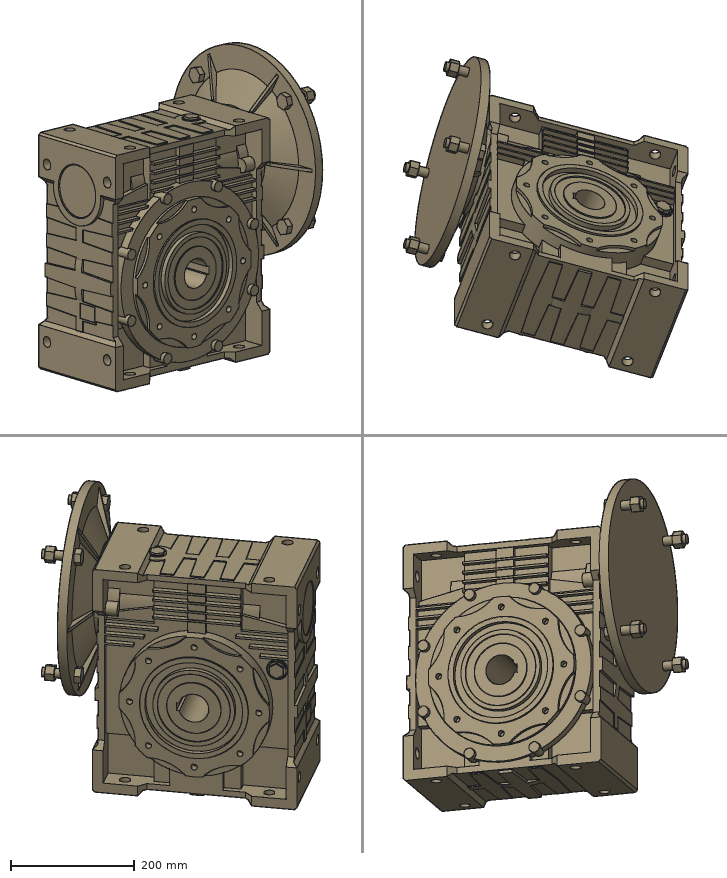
import cadquery as cq
import math

OVERALL_HEIGHT = 495.0
INPUT_Z = 150.0
FLANGE_D = 350.0

HALF_X = 92.5
HALF_Y = 170.0
TOP_Z = 229.5
BOTTOM_Z = INPUT_Z + FLANGE_D / 2 - OVERALL_HEIGHT
BLOCK_CHAMFER = 4.0

FOOT_Y = 94.5
FOOT_LOW_Z = -94.5
FOOT_HIGH_Z = 155.5
WAIST_DEPTH = 7.0
SIDE_WAIST_X = 79.5
SIDE_WAIST_DEPTH = HALF_X - SIDE_WAIST_X
WAIST_END_Y = FOOT_Y - WAIST_DEPTH
WAIST_LOW_Z = FOOT_LOW_Z + WAIST_DEPTH

POCKET_HALF_Y = 152.0
POCKET_TOP_Z = 213.0
POCKET_BOTTOM_Z = -152.5
FLOOR_X = 69.5
DEEP_FLOOR_X = 53.0
DEEP_INNER_Y = 72.5
LOW_DEEP_TOP_Z = -73.5
ISLAND_HALF_Y = 44.0
ISLAND_TOP_Z = -99.0
HIGH_LEDGE_Z = 131.0
LEDGE_X = 63.5
LEDGE_OUTER_Z = 140.5
LEDGE_INNER_Z = 157.0
BARREL_D = 115.0
BARREL_END_Y = -100.5
COLLAR_D = 122.0
COLLAR_LENGTH = 20.0
LUG_D = 24.0
LUG_X = 64.5
LUG_Z = 149.0

FIN_THICKNESS = 3.5
LONG_FIN_PITCH = 16.0
SHORT_FIN_PITCH = 16.0
SHORT_FIN_TOP_Z = 125.5
SHORT_FIN_INNER_Y = [65.0, 87.5, 105.0]
LONG_FIN_TOP_Z = 195.5
LONG_FIN_COUNT = 4
POST_HALF_Y = 15.0
POST_X = 77.5

COVER_D = 250.0
COVER_X = 96.5
RIM_D = 180.0
RIM_X = 100.0
GROOVE_OUTER_D = 162.5
GROOVE_INNER_D = 135.5
GROOVE_X = 91.0
SEAL_D = 121.0
SEAL_X = 97.5
SCALLOP_R = 80.0
SCALLOP_NEAREST = 112.5
SCALLOP_X = 91.0
COVER_HOLE_D = 10.0
COVER_HOLE_CIRCLE_R = 107.5
COVER_HOLE_DEPTH = 15.0
COVER_HOLE_TIP = 3.0
PLATE_D = 302.0
PLATE_X = 85.5
PLATE_SCREW_D = 18.0
PLATE_SCREW_CIRCLE_R = 146.0
PLATE_SCREW_X = 94.0
COVER_POINTS = 8
HALF_STEP = 180 / COVER_POINTS

TREE_HEIGHT = 2.0
TREE_PITCH = 50.0
SPINE_HALF = 8.0
BRANCH_ROOT_HALF = 15.0
BRANCH_TIP_HALF = 11.5
TOP_TREE_HALF_X = 74.2
GEAR_BULGE_R = 168.5
NAME_PAD_SIZE_X = 35.5
NAME_PAD_SIZE_Z = 25.5
NAME_PAD_X = 20.5
NAME_PAD_Z = -52.0
NAME_PAD_RISE = 1.0
NAME_BASE_END_X = 39.5
NAME_BASE_LOW_Z = -69.0

CAP_BOSS_D = BARREL_D
FLANGE_BOSS_D = 161.5
CAP_D = 87.0
CAP_MOUTH_D = 90.0
CAP_THICKNESS = 10.0
CAP_RECESS = 1.5
FOOT_HOLE_D = 18.0
FOOT_HOLE_XS = (-73.0, 73.0)
FOOT_HOLE_Y = 120.0
FOOT_HOLE_LOW_Z = -120.0
FOOT_HOLE_HIGH_Z = 180.0

PLUG_HEX_D = 26.0
PLUG_COLLAR_D = 30.0
TOP_PLUG_Y = 81.0
TOP_PLUG_BOSS_D = 54.5
TOP_PLUG_COLLAR_HEIGHT = 1.5
SIDE_PLUG_Y = -132.5
SIDE_PLUG_Z = 69.0
SIDE_PLUG_TURN = 30
SIDE_PLUG_BOSS_D = 34.5
SIDE_PLUG_BOSS_X = 72.5
SIDE_PLUG_COLLAR_X = 74.2
SIDE_PLUG_X = 78.5

SHAFT_D = 90.0
SHAFT_END_X = 100.0
SHAFT_BORE_D = 50.0
KEY_WIDTH = 14.0
KEY_TOP = 28.5

FLANGE_FRONT_Y = 195.0
FLANGE_BACK_Y = 211.0
CONE_LARGE_D = 268.5
CONE_SMALL_D = FLANGE_BOSS_D
RIB_COUNT = 6
RIB_THICKNESS = 5.5
RIB_OUTER_R = 167.0
RIB_INNER_R = 92.5
BOLT_CIRCLE_R = 150.0
BOLT_COUNT = 4
BOLT_D = 16.0
BOLT_HEX_D = 27.5
BOLT_HEAD_Y = 184.0
NUT_FRONT_Y = 228.5
NUT_BACK_Y = 244.0
BOLT_END_Y = 250.0


def box(x0, x1, y0, y1, z0, z1):
    """Box given by its limits along X, Y and Z."""
    return cq.Workplane("XY").box(x1 - x0, y1 - y0, z1 - z0, centered=False).translate((x0, y0, z0))


def x_cylinder(diameter, x0, x1, y=0, z=0):
    """Cylinder along X."""
    return cq.Workplane("YZ", origin=(x0, 0, 0)).center(y, z).circle(diameter / 2).extrude(x1 - x0)


def y_cylinder(diameter, y0, y1, x=0, z=0):
    """Cylinder along Y."""
    return cq.Workplane("XZ", origin=(0, y0, 0)).center(x, z).circle(diameter / 2).extrude(y0 - y1)


def z_cylinder(diameter, z0, z1, x=0, y=0):
    """Cylinder along Z."""
    return cq.Workplane("XY", origin=(0, 0, z0)).center(x, y).circle(diameter / 2).extrude(z1 - z0)


def y_hexagon(corner_d, y0, y1, x, z, turn):
    """Hexagonal prism along Y, turned about its own axis."""
    prism = cq.Workplane("XZ", origin=(0, y0, 0)).polygon(6, corner_d).extrude(y0 - y1)
    return prism.rotate((0, 0, 0), (0, -1, 0), turn).translate((x, 0, z))


def both_x(shape):
    """The shape on the -X side together with its mirror image on the +X side."""
    return shape.union(shape.mirror("YZ"))


def both_y(shape):
    """The shape together with its mirror image across the XZ plane."""
    return shape.union(shape.mirror("XZ"))


def around(radius, count, start=0):
    """Points evenly spread on a circle, starting at an angle in degrees."""
    angles = [math.radians(start + 360 / count * i) for i in range(count)]
    return [(radius * math.cos(a), radius * math.sin(a)) for a in angles]


def notch(plane, low, high, surface, depth, half_length):
    """Trapezoid with 45 degree ends, cut inwards from a surface and as long as the block."""
    floor = surface - math.copysign(depth, surface)
    outline = [(low, surface), (high, surface), (high - depth, floor), (low + depth, floor)]
    return cq.Workplane(plane).polyline(outline).close().extrude(half_length, both=True)


def make_block():
    block = box(-HALF_X, HALF_X, -HALF_Y, HALF_Y, BOTTOM_Z, TOP_Z)
    block = block.edges("|X").chamfer(BLOCK_CHAMFER)
    for surface in (BOTTOM_Z, TOP_Z):
        block = block.cut(notch("YZ", -FOOT_Y, FOOT_Y, surface, WAIST_DEPTH, HALF_X))
    for surface in (-HALF_Y, HALF_Y):
        block = block.cut(notch("ZY", FOOT_LOW_Z, FOOT_HIGH_Z, surface, WAIST_DEPTH, HALF_X))
    for surface in (-HALF_X, HALF_X):
        block = block.cut(notch("YX", -FOOT_Y, FOOT_Y, surface, SIDE_WAIST_DEPTH, TOP_Z))
        block = block.cut(notch("ZX", FOOT_LOW_Z, FOOT_HIGH_Z, surface, SIDE_WAIST_DEPTH, HALF_Y))
    return block


def make_side_pocket():
    """Space of the pocket on the -X side, with its four deeper corners."""
    pocket = box(-HALF_X, -FLOOR_X, -POCKET_HALF_Y, POCKET_HALF_Y, POCKET_BOTTOM_Z, POCKET_TOP_Z)
    island = box(-HALF_X, -FLOOR_X, -ISLAND_HALF_Y, ISLAND_HALF_Y, POCKET_BOTTOM_Z, ISLAND_TOP_Z)
    low_corner = box(
        -HALF_X, -DEEP_FLOOR_X, DEEP_INNER_Y, POCKET_HALF_Y, POCKET_BOTTOM_Z, LOW_DEEP_TOP_Z
    )
    high_corner = box(
        -HALF_X, -DEEP_FLOOR_X, DEEP_INNER_Y, POCKET_HALF_Y, HIGH_LEDGE_Z, POCKET_TOP_Z
    )
    return pocket.cut(island).union(both_y(low_corner.union(high_corner)))


def make_ledges():
    """Sloping ledges, input barrel with collar, and round lug in the upper corners of the -X pocket."""
    outline = [
        (DEEP_INNER_Y, HIGH_LEDGE_Z),
        (POCKET_HALF_Y, HIGH_LEDGE_Z),
        (POCKET_HALF_Y, LEDGE_OUTER_Z),
        (DEEP_INNER_Y, LEDGE_INNER_Z),
    ]
    ledge = cq.Workplane("YZ", origin=(-LEDGE_X, 0, 0)).polyline(outline).close()
    ledge = ledge.extrude(LEDGE_X - DEEP_FLOOR_X)
    barrel = y_cylinder(BARREL_D, BARREL_END_Y, POCKET_HALF_Y, 0, INPUT_Z)
    collar_y = POCKET_HALF_Y - COLLAR_LENGTH
    collar = y_cylinder(COLLAR_D, collar_y, POCKET_HALF_Y, 0, INPUT_Z)
    lug = y_cylinder(LUG_D, collar_y, POCKET_HALF_Y, -LUG_X, LUG_Z)
    return both_y(ledge).union(barrel).union(collar).union(lug)


def make_fins():
    """Level cooling fins and the upright post on the floor of the -X pocket."""
    fins = box(-POST_X, -FLOOR_X, -POST_HALF_Y, POST_HALF_Y, 0, POCKET_TOP_Z)
    for i in range(LONG_FIN_COUNT):
        top = LONG_FIN_TOP_Z - i * LONG_FIN_PITCH
        fin = box(-SIDE_WAIST_X, -FLOOR_X, -DEEP_INNER_Y, DEEP_INNER_Y, top - FIN_THICKNESS, top)
        fins = fins.union(fin)
    for i, inner_y in enumerate(SHORT_FIN_INNER_Y):
        top = SHORT_FIN_TOP_Z - i * SHORT_FIN_PITCH
        fin = box(-SIDE_WAIST_X, -FLOOR_X, inner_y, POCKET_HALF_Y, top - FIN_THICKNESS, top)
        fins = fins.union(both_y(fin))
    return fins


def make_cover():
    """Round output cover on the -X side with rim, ring groove, seal recess, scallops and holes."""
    cover = x_cylinder(COVER_D, -COVER_X, -DEEP_FLOOR_X)
    cover = cover.union(x_cylinder(RIM_D, -RIM_X, -COVER_X))
    groove = x_cylinder(GROOVE_OUTER_D, -RIM_X, -GROOVE_X)
    cover = cover.cut(groove.cut(x_cylinder(GROOVE_INNER_D, -RIM_X, -GROOVE_X)))
    cover = cover.cut(x_cylinder(SEAL_D, -RIM_X, -SEAL_X))
    for y, z in around(SCALLOP_NEAREST + SCALLOP_R, COVER_POINTS, HALF_STEP):
        cover = cover.cut(x_cylinder(2 * SCALLOP_R, -COVER_X, -SCALLOP_X, y, z))
    for y, z in around(COVER_HOLE_CIRCLE_R, COVER_POINTS):
        floor_x = -COVER_X + COVER_HOLE_DEPTH
        tip = cq.Solid.makeCone(
            COVER_HOLE_D / 2, 0, COVER_HOLE_TIP, cq.Vector(floor_x, y, z), cq.Vector(1, 0, 0)
        )
        cover = cover.cut(x_cylinder(COVER_HOLE_D, -COVER_X, floor_x, y, z)).cut(cq.Workplane(tip))
    return cover


def make_screw_plate():
    """Wider plate with round screw heads behind the cover on the +X side."""
    plate = x_cylinder(PLATE_D, FLOOR_X, PLATE_X)
    for y, z in around(PLATE_SCREW_CIRCLE_R, COVER_POINTS, HALF_STEP):
        plate = plate.union(x_cylinder(PLATE_SCREW_D, FLOOR_X, PLATE_SCREW_X, y, z))
    return plate


def tree(plane, origin, centres, tip, spine_low, spine_high, height):
    """Spine with branches that narrow towards both sides, raised from a plane."""
    base = cq.Workplane(plane, origin=origin)
    shape = base.center(0, (spine_low + spine_high) / 2)
    shape = shape.rect(2 * SPINE_HALF, spine_high - spine_low).extrude(height)
    for centre in centres:
        outline = [
            (-tip, centre - BRANCH_TIP_HALF),
            (0, centre - BRANCH_ROOT_HALF),
            (tip, centre - BRANCH_TIP_HALF),
            (tip, centre + BRANCH_TIP_HALF),
            (0, centre + BRANCH_ROOT_HALF),
            (-tip, centre + BRANCH_TIP_HALF),
        ]
        shape = shape.union(base.polyline(outline).close().extrude(height))
    return shape


def make_trees():
    """Trees on the top, bottom and both end waists; the gear space bulges out under three of them."""
    bulge = x_cylinder(2 * GEAR_BULGE_R, -HALF_X, HALF_X)
    level_centres = [-TREE_PITCH, 0, TREE_PITCH]
    level = (level_centres, TOP_TREE_HALF_X, -WAIST_END_Y, TREE_PITCH)
    end = (level_centres + [2 * TREE_PITCH], SIDE_WAIST_X, WAIST_LOW_Z, 2 * TREE_PITCH)

    top = tree("XY", (0, 0, TOP_Z - WAIST_DEPTH), *level, TREE_HEIGHT)
    bottom_origin = (0, 0, BOTTOM_Z + WAIST_DEPTH)
    bottom = tree("XY", bottom_origin, *level, -TREE_HEIGHT)
    bottom = bottom.union(tree("XY", bottom_origin, *level, -WAIST_DEPTH).intersect(bulge))
    end_origin = (0, -HALF_Y + WAIST_DEPTH, 0)
    front = tree("XZ", end_origin, *end, TREE_HEIGHT)
    front = front.union(tree("XZ", end_origin, *end, WAIST_DEPTH).intersect(bulge))
    return both_y(front).union(top).union(bottom)


def make_name_pad():
    """Small square pad on the -Y side, on a base that widens a branch of the tree."""
    back_y = -HALF_Y + WAIST_DEPTH
    front_y = back_y - TREE_HEIGHT - NAME_PAD_RISE
    low_z = NAME_PAD_Z - NAME_PAD_SIZE_Z / 2
    low_x = NAME_PAD_X - NAME_PAD_SIZE_X / 2
    pad = box(low_x, low_x + NAME_PAD_SIZE_X, front_y, back_y, low_z, low_z + NAME_PAD_SIZE_Z)
    base_y = back_y - TREE_HEIGHT
    return pad.union(box(0, NAME_BASE_END_X, base_y, back_y, NAME_BASE_LOW_Z, NAME_PAD_Z))


def make_end_bosses():
    """Round bosses around the input axis on both ends, no wider than the side waists."""
    waist_y = HALF_Y - WAIST_DEPTH
    cap_boss = y_cylinder(CAP_BOSS_D, -HALF_Y, -waist_y, 0, INPUT_Z)
    flange_boss = y_cylinder(FLANGE_BOSS_D, waist_y, HALF_Y, 0, INPUT_Z)
    room = box(
        -SIDE_WAIST_X, SIDE_WAIST_X, -HALF_Y, HALF_Y, BOTTOM_Z, TOP_Z - BLOCK_CHAMFER
    )
    return cap_boss.union(flange_boss).intersect(room)


def make_cap_bore():
    """Bore of the end cap with a chamfered mouth."""
    chamfer = (CAP_MOUTH_D - CAP_D) / 2
    floor_y = -HALF_Y + CAP_RECESS + CAP_THICKNESS
    bore = y_cylinder(CAP_D, -HALF_Y, floor_y, 0, INPUT_Z)
    mouth_centre = cq.Vector(0, -HALF_Y, INPUT_Z)
    mouth = cq.Solid.makeCone(CAP_MOUTH_D / 2, CAP_D / 2, chamfer, mouth_centre, cq.Vector(0, 1, 0))
    return bore.union(cq.Workplane(mouth))


def make_foot_holes():
    """Holes from the top, bottom and -Y end into the corner pockets."""
    ends = [(x, z) for x in FOOT_HOLE_XS for z in (FOOT_HOLE_LOW_Z, FOOT_HOLE_HIGH_Z)]
    holes = [y_cylinder(FOOT_HOLE_D, -HALF_Y, -POCKET_HALF_Y, x, z) for x, z in ends]
    for x in FOOT_HOLE_XS:
        for y in (-FOOT_HOLE_Y, FOOT_HOLE_Y):
            holes.append(z_cylinder(FOOT_HOLE_D, POCKET_TOP_Z, TOP_Z, x, y))
            holes.append(z_cylinder(FOOT_HOLE_D, BOTTOM_Z, POCKET_BOTTOM_Z, x, y))
    return holes


def make_top_plug():
    """Hexagon plug with collar on a low boss of the top waist."""
    waist_z = TOP_Z - WAIST_DEPTH
    boss_z = waist_z + TREE_HEIGHT
    collar_z = boss_z + TOP_PLUG_COLLAR_HEIGHT
    hexagon = cq.Workplane("XY", origin=(0, TOP_PLUG_Y, collar_z)).polygon(6, PLUG_HEX_D)
    return (
        z_cylinder(TOP_PLUG_BOSS_D, waist_z, boss_z, 0, TOP_PLUG_Y)
        .union(z_cylinder(PLUG_COLLAR_D, boss_z, collar_z, 0, TOP_PLUG_Y))
        .union(hexagon.extrude(TOP_Z - collar_z))
    )


def make_side_plug():
    """Hexagon plug with collar on a low boss of the -X pocket floor."""
    hexagon = cq.Workplane("YZ", origin=(-SIDE_PLUG_X, SIDE_PLUG_Y, SIDE_PLUG_Z))
    hexagon = hexagon.transformed(rotate=(0, 0, SIDE_PLUG_TURN)).polygon(6, PLUG_HEX_D)
    place = (SIDE_PLUG_Y, SIDE_PLUG_Z)
    boss = x_cylinder(SIDE_PLUG_BOSS_D, -SIDE_PLUG_BOSS_X, -FLOOR_X, *place)
    collar = x_cylinder(PLUG_COLLAR_D, -SIDE_PLUG_COLLAR_X, -FLOOR_X, *place)
    return boss.union(collar).union(hexagon.extrude(SIDE_PLUG_X - FLOOR_X))


def make_housing():
    housing = make_block()
    housing = housing.cut(both_x(make_side_pocket()))
    housing = housing.union(both_x(make_ledges().union(make_fins())))
    housing = housing.union(both_x(make_cover()))
    housing = housing.union(make_screw_plate())
    housing = housing.union(make_trees()).union(make_name_pad())
    housing = housing.union(make_end_bosses()).union(make_top_plug()).union(make_side_plug())
    housing = housing.cut(make_cap_bore())
    for hole in make_foot_holes():
        housing = housing.cut(hole)
    return housing.cut(x_cylinder(SHAFT_D, -RIM_X, RIM_X))


def make_output_shaft():
    """Hollow shaft with a keyway on its +Y side."""
    shaft = x_cylinder(SHAFT_D, -SHAFT_END_X, SHAFT_END_X)
    bore = x_cylinder(SHAFT_BORE_D, -SHAFT_END_X, SHAFT_END_X)
    keyway = box(-SHAFT_END_X, SHAFT_END_X, 0, KEY_TOP, -KEY_WIDTH / 2, KEY_WIDTH / 2)
    return shaft.cut(bore).cut(keyway)


def make_end_cap():
    """Closing disc of the input bore."""
    front_y = -HALF_Y + CAP_RECESS
    return y_cylinder(CAP_D, front_y, front_y + CAP_THICKNESS, 0, INPUT_Z)


def make_bolt(x, z):
    """Bolt through the flange with head and nut, each with a corner pointing at the input axis."""
    turn = math.degrees(math.atan2(z, x))
    head = y_hexagon(BOLT_HEX_D, BOLT_HEAD_Y, FLANGE_FRONT_Y, x, z, turn)
    nut = y_hexagon(BOLT_HEX_D, NUT_FRONT_Y, NUT_BACK_Y, x, z, turn)
    shank = y_cylinder(BOLT_D, FLANGE_FRONT_Y, BOLT_END_Y, x, z)
    return head.union(nut).union(shank)


def make_rib():
    """One flange rib pointing to +X from the input axis."""
    outline = [
        (0, HALF_Y),
        (RIB_INNER_R, HALF_Y),
        (RIB_OUTER_R, FLANGE_FRONT_Y),
        (0, FLANGE_FRONT_Y),
    ]
    rib = cq.Workplane("XY").polyline(outline).close()
    return rib.extrude(RIB_THICKNESS / 2, both=True)


def make_input_flange():
    """Disc, cone, ribs and bolts, built around the Y axis and raised to the input axis."""
    profile = [
        (0, HALF_Y),
        (CONE_SMALL_D / 2, HALF_Y),
        (CONE_LARGE_D / 2, FLANGE_FRONT_Y),
        (FLANGE_D / 2, FLANGE_FRONT_Y),
        (FLANGE_D / 2, FLANGE_BACK_Y),
        (0, FLANGE_BACK_Y),
    ]
    flange = cq.Workplane("XY").polyline(profile).close().revolve(360, (0, 0, 0), (0, 1, 0))
    for i in range(RIB_COUNT):
        flange = flange.union(make_rib().rotate((0, 0, 0), (0, 1, 0), 360 / RIB_COUNT * i))
    for x, z in around(BOLT_CIRCLE_R, BOLT_COUNT, 180 / BOLT_COUNT):
        flange = flange.union(make_bolt(x, z))
    return flange.translate((0, 0, INPUT_Z))


housing = make_housing()
output_shaft = make_output_shaft()
end_cap = make_end_cap()
input_flange = make_input_flange()

result = cq.Compound.makeCompound(
    [housing.val(), output_shaft.val(), end_cap.val(), input_flange.val()]
)